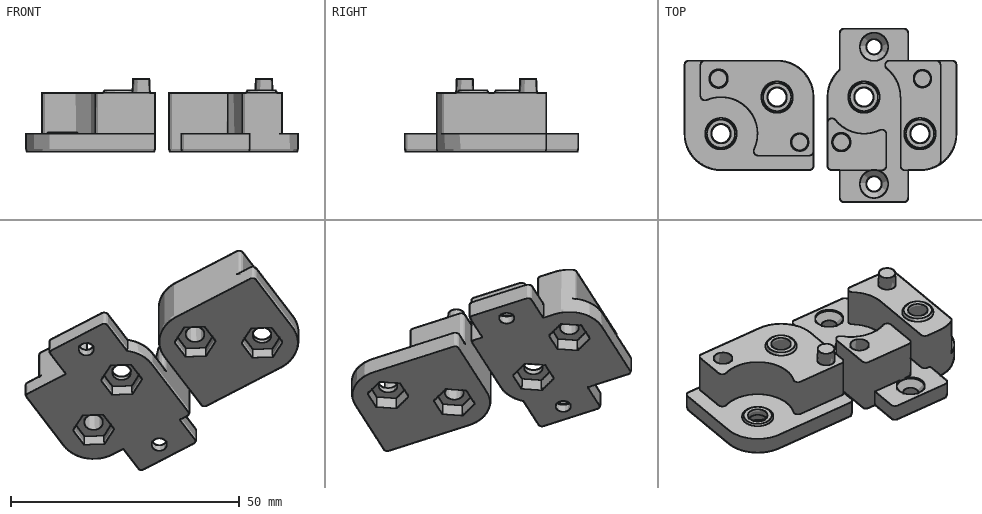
import cadquery as cq
import math

gap = 3.0
housing_width = 28.265
housing_depth = 24.0
floor_height = 4.0
tower_top = 12.9
pin_top = 16.0

axle_radius = 8.0
corner_radius = 1.0
flange_width = 3.5
left_ledge = 3.2
middle_tower_width = 12.9
foot_height = 0.7
foot_inset = 0.2

axle_hole_radius = 2.05
seat_base_radius = 3.45
seat_top_radius = 3.07
floor_seat_height = 0.35
tower_seat_height = 0.6
nut_flats = 7.4
nut_pocket_depth = 2.9
rim_relief = 0.1
rim_depth = 0.5

pin_base_radius = 1.95
pin_tip_radius = 1.8
socket_mouth_radius = 2.05
socket_bottom_radius = 1.85
socket_depth = 3.2
outer_pin_x = 22.3
outer_pin_y = 8.03
inner_pin_x = 4.55
inner_pin_y = -5.85

plate_width = 15.0
plate_depth = 38.0
plate_x = 11.7
screw_y = 15.0
screw_hole_radius = 1.65
sink_radius = 3.09
sink_land = 0.4
sink_depth = sink_radius - screw_hole_radius
head_relief_height = 2.0
head_relief_radius = 2.995

inner_x = gap / 2
outer_x = inner_x + housing_width
back_y = housing_depth / 2
front_y = -back_y
inner_axle = (inner_x + axle_radius, back_y - axle_radius)
outer_axle = (outer_x - axle_radius, front_y + axle_radius)
tower_outer_x = outer_x - flange_width
tip_reach = math.sqrt((axle_radius + corner_radius) ** 2 - (axle_radius - corner_radius) ** 2)


def mirrored(point):
    return (-point[0], point[1])


def cylinder(center, radius, z_min, z_max):
    return cq.Workplane("XY", origin=(*center, z_min)).circle(radius).extrude(z_max - z_min)


def cone(center, bottom_radius, top_radius, z_min, height):
    return cq.Workplane(cq.Solid.makeCone(bottom_radius, top_radius, height, cq.Vector(*center, z_min)))


def fillet_corners(body, corners):
    """Round the vertical edges that stand at the given (x, y) corners."""
    reach = 0.05
    for x, y in corners:
        box = cq.selectors.BoxSelector((x - reach, y - reach, 0), (x + reach, y + reach, pin_top))
        body = body.edges("|Z").edges(box).fillet(corner_radius)
    return body


def tower_outline(start):
    return cq.Workplane("XY", origin=(0, 0, floor_height)).moveTo(*start)


def point_on_circle(center, radius, angle):
    return (center[0] + radius * math.cos(angle), center[1] + radius * math.sin(angle))


def footed_slab(outline, height):
    """Slab standing on z = 0 whose bottom band narrows towards z = 0."""
    foot_taper = math.degrees(math.atan(foot_inset / foot_height))
    base = cq.Workplane("XY", origin=(0, 0, foot_height)).placeSketch(outline)
    upper = base.extrude(height - foot_height)
    lower = base.extrude(-foot_height, taper=foot_taper)
    return upper.union(lower)


def housing_slab():
    """Full-height slab of the right housing: two opposite corners are concentric with the axles."""
    outline = cq.Sketch().rect(housing_width, housing_depth)
    for round_end, small_end in (("<(1,-1,0)", "<(1,1,0)"), (">(1,-1,0)", ">(1,1,0)")):
        outline = outline.reset().vertices(round_end).fillet(axle_radius)
        outline = outline.reset().vertices(small_end).fillet(corner_radius)
    center = cq.Vector((inner_x + outer_x) / 2, 0, 0)
    return footed_slab(outline.reset().moved(cq.Location(center)), tower_top)


def plate_slab():
    outline = cq.Sketch().rect(plate_width, plate_depth).vertices().fillet(corner_radius).reset()
    return footed_slab(outline.moved(cq.Location(cq.Vector(plate_x, 0, 0))), floor_height)


def left_tower():
    axle = mirrored(outer_axle)
    corner_axle = mirrored(inner_axle)
    tower_front_y = front_y + left_ledge
    front_angle = math.asin((tower_front_y - axle[1]) / axle_radius)
    side_angle = math.acos((-tower_outer_x - axle[0]) / axle_radius)
    front_tip = point_on_circle(axle, axle_radius, front_angle)
    side_tip = point_on_circle(axle, axle_radius, side_angle)
    outline = (
        tower_outline((-inner_x, tower_front_y))
        .lineTo(*front_tip)
        .threePointArc(point_on_circle(axle, axle_radius, (front_angle + side_angle) / 2), side_tip)
        .lineTo(-tower_outer_x, back_y)
        .lineTo(corner_axle[0], back_y)
        .threePointArc(point_on_circle(corner_axle, axle_radius, math.pi / 4), (-inner_x, corner_axle[1]))
        .close()
    )
    tower = outline.extrude(tower_top - floor_height)
    corners = [(-inner_x, tower_front_y), front_tip, side_tip, (-tower_outer_x, back_y)]
    return fillet_corners(tower, corners)


def middle_tower():
    """Tower at the front inner corner; its back face follows the clearance arc of the inner axle."""
    tower_right_x = inner_x + middle_tower_width
    tip_center = (inner_x + corner_radius, inner_axle[1] - tip_reach)
    tip_angle = math.atan2(tip_reach, axle_radius - corner_radius)
    arc_start = -math.pi + tip_angle
    arc_end = -math.acos((tower_right_x - inner_axle[0]) / axle_radius)
    right_tip = point_on_circle(inner_axle, axle_radius, arc_end)
    outline = (
        tower_outline((inner_x, tip_center[1]))
        .threePointArc(point_on_circle(tip_center, corner_radius, (math.pi + tip_angle) / 2),
                       point_on_circle(tip_center, corner_radius, tip_angle))
        .threePointArc(point_on_circle(inner_axle, axle_radius, (arc_start + arc_end) / 2), right_tip)
        .lineTo(tower_right_x, front_y)
        .lineTo(inner_x, front_y)
        .close()
    )
    tower = outline.extrude(tower_top - floor_height)
    return fillet_corners(tower, [right_tip, (tower_right_x, front_y), (inner_x, front_y)])


def outer_tower():
    """Long tower on the outer side; its inner face follows the clearance arc of the inner axle."""
    tower_inner_x = inner_axle[0] + axle_radius
    tip_center = (inner_axle[0] + tip_reach, back_y - corner_radius)
    tip_angle = math.atan2(axle_radius - corner_radius, tip_reach)
    side_angle = -math.acos((tower_outer_x - outer_axle[0]) / axle_radius)
    side_corner = point_on_circle(outer_axle, axle_radius, side_angle)
    outline = (
        tower_outline((tip_center[0], back_y))
        .threePointArc(point_on_circle(tip_center, corner_radius, (tip_angle + 3 * math.pi / 2) / 2),
                       point_on_circle(tip_center, corner_radius, tip_angle + math.pi))
        .threePointArc(point_on_circle(inner_axle, axle_radius, tip_angle / 2), (tower_inner_x, inner_axle[1]))
        .lineTo(tower_inner_x, front_y)
        .lineTo(outer_axle[0], front_y)
        .threePointArc(point_on_circle(outer_axle, axle_radius, (side_angle - math.pi / 2) / 2), side_corner)
        .lineTo(tower_outer_x, back_y)
        .close()
    )
    tower = outline.extrude(tower_top - floor_height)
    return fillet_corners(tower, [(tower_inner_x, front_y), side_corner, (tower_outer_x, back_y)])


def carve_towers(slab, towers):
    """Lower the slab to the floor everywhere except under the given towers."""
    void = cq.Workplane("XY", origin=(0, 0, floor_height)).rect(4 * outer_x, 4 * back_y).extrude(tower_top)
    for tower in towers:
        void = void.cut(tower)
    return slab.cut(void)


def nut_pocket(center):
    """Hexagonal pocket in the underside, flared outwards over the height of the foot."""
    flare = math.degrees(math.atan(foot_inset / foot_height))
    hexagon = cq.Sketch().regularPolygon(nut_flats / math.sqrt(3), 6)
    base = cq.Workplane("XY", origin=(*center, foot_height)).placeSketch(hexagon)
    return base.extrude(nut_pocket_depth - foot_height).union(base.extrude(-foot_height, taper=-flare))


def add_axle_seat(body, center, surface_z, seat_height):
    """Raised conical seat with a through hole and a nut pocket underneath."""
    rim_top = surface_z + seat_height
    body = body.union(cone(center, seat_base_radius, seat_top_radius, surface_z, seat_height))
    body = body.cut(cylinder(center, axle_hole_radius, 0, rim_top))
    rim_radius = axle_hole_radius + rim_relief
    body = body.cut(cone(center, axle_hole_radius, rim_radius, rim_top - rim_depth, rim_depth))
    return body.cut(nut_pocket(center))


def add_pin_and_socket(body, pin_center, socket_center):
    body = body.union(cone(pin_center, pin_base_radius, pin_tip_radius, tower_top, pin_top - tower_top))
    socket_bottom_z = tower_top - socket_depth
    return body.cut(cone(socket_center, socket_bottom_radius, socket_mouth_radius, socket_bottom_z, socket_depth))


def cut_mounting_hole(body, center):
    """Countersunk screw hole; the relief above it grazes the tower beside the screw head."""
    land_bottom = floor_height - sink_land
    body = body.cut(cylinder(center, screw_hole_radius, 0, floor_height))
    body = body.cut(cone(center, screw_hole_radius, sink_radius, land_bottom - sink_depth, sink_depth))
    body = body.cut(cylinder(center, sink_radius, land_bottom, floor_height))
    return body.cut(cone(center, sink_radius, head_relief_radius, floor_height, head_relief_height))


def make_left_housing():
    body = carve_towers(housing_slab().mirror("YZ"), [left_tower()])
    body = add_axle_seat(body, mirrored(outer_axle), floor_height, floor_seat_height)
    body = add_axle_seat(body, mirrored(inner_axle), tower_top, tower_seat_height)
    return add_pin_and_socket(body, (-inner_pin_x, inner_pin_y), (-outer_pin_x, outer_pin_y))


def make_right_housing():
    body = carve_towers(housing_slab(), [middle_tower(), outer_tower()]).union(plate_slab())
    body = add_axle_seat(body, inner_axle, floor_height, floor_seat_height)
    body = add_axle_seat(body, outer_axle, tower_top, tower_seat_height)
    body = add_pin_and_socket(body, (outer_pin_x, outer_pin_y), (inner_pin_x, inner_pin_y))
    for y in (-screw_y, screw_y):
        body = cut_mounting_hole(body, (plate_x, y))
    return body


left_housing = make_left_housing()
right_housing = make_right_housing()

result = cq.Compound.makeCompound([left_housing.val(), right_housing.val()])